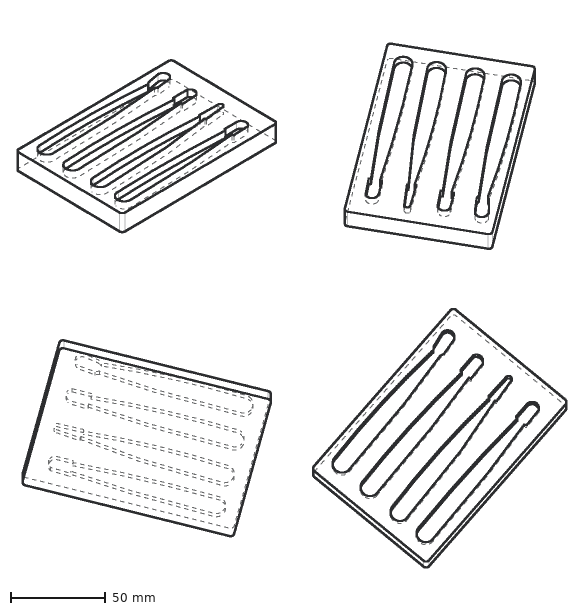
import cadquery as cq

width = 79.8
length = 115.8
height = 12.5
corner_radius = 2.0
pocket_depth = 5.0

pockets = [
    {
        "base_left": (-34.5, -45.4),
        "base_end": (-29.5, -50.3),
        "base_right": (-24.5, -45.9),
        "grip_right": (-25.5, 0.8),
        "neck_right": (-27.9, 33.4),
        "shoulder_right": (-27.1, 35.5),
        "head_right": (-28.0, 44.5),
        "tip": (-31.3, 47.4),
        "head_left": (-35.3, 43.7),
        "shoulder_left": (-33.8, 35.0),
        "neck_left": (-32.8, 33.4),
        "grip_left": (-34.9, 0.8),
    },
    {
        "base_left": (-14.7, -46.7),
        "base_end": (-10.0, -50.5),
        "base_right": (-4.9, -46.2),
        "grip_right": (-6.0, 0.8),
        "neck_right": (-8.6, 34.1),
        "shoulder_right": (-7.4, 34.2),
        "head_right": (-7.9, 44.1),
        "tip": (-11.6, 47.0),
        "head_left": (-14.7, 45.0),
        "shoulder_left": (-14.7, 34.2),
        "neck_left": (-13.3, 34.1),
        "grip_left": (-15.1, 4.9),
    },
    {
        "base_left": (6.0, -46.2),
        "base_end": (11.2, -50.6),
        "base_right": (16.0, -46.2),
        "grip_right": (14.0, 0.8),
        "neck_right": (10.1, 33.4),
        "shoulder_right": (10.9, 33.6),
        "head_right": (9.6, 47.0),
        "tip": (8.0, 48.8),
        "head_left": (6.3, 46.6),
        "shoulder_left": (5.9, 33.1),
        "neck_left": (6.8, 32.8),
        "grip_left": (5.1, 0.8),
    },
    {
        "base_left": (24.2, -45.1),
        "base_end": (29.1, -50.6),
        "base_right": (34.0, -45.9),
        "grip_right": (32.8, 0.8),
        "neck_right": (30.4, 33.4),
        "shoulder_right": (31.5, 33.8),
        "head_right": (31.0, 44.5),
        "tip": (27.8, 46.5),
        "head_left": (24.2, 42.9),
        "shoulder_left": (24.2, 34.1),
        "neck_left": (25.4, 33.6),
        "grip_left": (23.9, -5.5),
    },
]


def make_tray():
    """Plain block with its four upright edges rounded."""
    block = cq.Workplane("XY").box(width, length, height, centered=(True, True, False))
    return block.edges("|Z").fillet(corner_radius)


def make_pocket(outline):
    """Solid that fills one flat-bottomed pocket, up to the top face."""
    return (
        cq.Workplane("XY", origin=(0, 0, height - pocket_depth))
        .moveTo(*outline["base_left"])
        .threePointArc(outline["base_end"], outline["base_right"])
        .lineTo(*outline["grip_right"])
        .lineTo(*outline["neck_right"])
        .lineTo(*outline["shoulder_right"])
        .lineTo(*outline["head_right"])
        .threePointArc(outline["tip"], outline["head_left"])
        .lineTo(*outline["shoulder_left"])
        .lineTo(*outline["neck_left"])
        .spline([outline["grip_left"], outline["base_left"]], includeCurrent=True)
        .close()
        .extrude(pocket_depth)
    )


result = make_tray()
for outline in pockets:
    result = result.cut(make_pocket(outline))